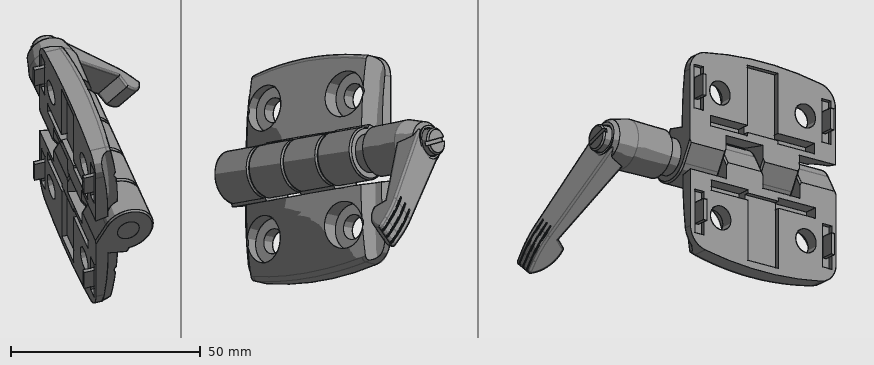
import cadquery as cq
import math


LEAF_WIDTH = 48.0
LEAF_HEIGHT = 29.7
END_EDGE_DROP = 2.8
CORNER_RADIUS = 5.9
BACK_Y = -9.0
CREST_THICKNESS = 8.55
CREST_Y = BACK_Y + CREST_THICKNESS
DOME_RADIUS = 101.0
SHOULDER_X = 20.2
SHOULDER_DROP = 1.25
SIDE_THICKNESS = 3.4
RIM_RADIUS = 1.4
LEAF_SHIFT = 0.2

CLEARANCE_BACK_Z = 6.05
CLEARANCE_CREST_Z = 7.85

BARREL_RADIUS = 7.1
BARREL_TOE_Z = 1.5
BARREL_WIDTH = 12.0
BARREL_STARTS = (-LEAF_WIDTH / 2, 0.15)
BARREL_CHAMFER = 0.5
PIN_RADIUS = 3.0

HOLE_Z = 17.6
HOLE_SPACING = 28.1
HOLE_RADIUS = 3.35
HEAD_RECESS_RADIUS = 6.2
HEAD_RECESS_FLOOR = 3.6

TAB_SPACING = 42.1
TAB_THICKNESS = 1.1
TAB_HEIGHT = 6.0
TAB_PROJECTION = 2.5
TAB_POCKET_WIDTH = 3.0
TAB_POCKET_HEIGHT = 12.3
TAB_POCKET_DEPTH = 1.25

MAIN_POCKET_WIDTH = 10.0
MAIN_POCKET_BOTTOM = 8.55
MAIN_POCKET_TOP = 27.6
MAIN_POCKET_DEPTH = 1.5
SLOT_SPAN = 34.3
SLOT_BOTTOM = 7.6
SLOT_TOP = 10.6
SLOT_DEPTH = 4.0

LEVER_ANGLE = 40.0
HUB_FRONT_X = -46.1
HUB_FACE_SLOPE = 0.11
HUB_FACE_EDGE_X = -45.75
HUB_SHOULDER_X = -44.6
HUB_RIDGE_X = -39.4
HUB_END_X = -28.0
HUB_FACE_RADIUS = 4.5
HUB_SHOULDER_RADIUS = 5.7
HUB_RIDGE_RADIUS = 6.9
HUB_END_RADIUS = 6.7

ARM_LENGTH = 39.7
ARM_ROOT_X = -45.5
ARM_BEND_X = -52.5
ARM_BEND_Z = 28.35
ARM_OUTER_X = -53.45
ARM_ROOT_WIDTH = 10.1
ARM_TIP_WIDTH = 7.4
ARM_EDGE_RADIUS = 0.55
TIP_RADIUS = 0.7

HOOK_BELLY = (-48.6, -36.8)
HOOK_POINT = (-46.15, -30.7)
HOOK_NOTCH = (-49.0, -28.6)
ARM_INNER_ROOT_X = -38.15

GROOVE_COUNT = 3
GROOVE_PITCH = 2.2
GROOVE_WIDTH = 0.5
GROOVE_DEPTH = 0.4
GROOVE_START = 25.95
GROOVE_START_X = -51.9
GROOVE_LEVEL_Z = 33.4

SCREW_FRONT_X = -48.25
SCREW_SEAT_X = -44.3
SCREW_HEAD_RADIUS = 3.6
SCREW_HEAD_CHAMFER = 0.5
SCREW_RECESS_RADIUS = 3.9
SCREW_SHANK_RADIUS = 2.0
SCREW_SLOT_WIDTH = 1.1
SCREW_SLOT_DEPTH = 1.1
SCREW_SLOT_ANGLE = -19.0
COLLAR_RADIUS = 5.1
PIN_START_X = -35.7
PIN_END_X = LEAF_WIDTH / 2 + LEAF_SHIFT


def cylinder_x(radius, start, end):
    """Cylinder around the pin axis between two X positions."""
    return cq.Workplane("YZ", origin=(start, 0, 0)).circle(radius).extrude(end - start)


def back_pocket(width, bottom, top, depth, center_x=0):
    """Rectangular block sunk into the mounting face of a leaf."""
    return (
        cq.Workplane("XZ", origin=(0, BACK_Y + depth, 0))
        .center(center_x, (bottom + top) / 2)
        .rect(width, top - bottom)
        .extrude(depth)
    )


def dome():
    """Outer face of a leaf: a crowned cross-section swept around an axis parallel to the pin."""
    half = LEAF_WIDTH / 2
    shoulder_y = CREST_Y - SHOULDER_DROP
    side_y = BACK_Y + SIDE_THICKNESS
    axis_y = CREST_Y - DOME_RADIUS
    crown_slope = 2 * math.atan2(SHOULDER_DROP, SHOULDER_X)
    shoulder_run = half - SHOULDER_X
    shoulder_fall = shoulder_y - side_y
    half_turn = math.atan2(shoulder_fall, shoulder_run) - crown_slope
    shoulder_sag = math.hypot(shoulder_run, shoulder_fall) / 2 * math.tan(half_turn / 2)
    return (
        cq.Workplane("XY", origin=(0, 0, CLEARANCE_CREST_Z))
        .moveTo(-half, axis_y)
        .lineTo(-half, side_y)
        .sagittaArc((-SHOULDER_X, shoulder_y), -shoulder_sag)
        .threePointArc((0, CREST_Y), (SHOULDER_X, shoulder_y))
        .sagittaArc((half, side_y), -shoulder_sag)
        .lineTo(half, axis_y)
        .close()
        .revolve(360, (0, axis_y, 0), (1, axis_y, 0))
    )


def leaf_plate():
    """Domed plate with a curved end edge, cut off at a slant next to the barrels."""
    half = LEAF_WIDTH / 2
    shoulder_z = LEAF_HEIGHT - END_EDGE_DROP
    outline = (
        cq.Workplane("XZ", origin=(0, CREST_Y, 0))
        .moveTo(-half, 0)
        .lineTo(-half, shoulder_z)
        .threePointArc((0, LEAF_HEIGHT), (half, shoulder_z))
        .lineTo(half, 0)
        .close()
        .extrude(CREST_THICKNESS)
        .edges("|Y")
        .edges(">Z")
        .fillet(CORNER_RADIUS)
    )
    plate = outline.intersect(dome())
    plate = plate.faces(">Z").edges(">Y").fillet(RIM_RADIUS)
    clearance = (
        cq.Workplane("YZ")
        .polyline([
            (BACK_Y, 0),
            (BACK_Y, CLEARANCE_BACK_Z),
            (CREST_Y, CLEARANCE_CREST_Z),
            (CREST_Y, 0),
        ])
        .close()
        .extrude(half, both=True)
    )
    return plate.cut(clearance)


def barrel(start_x):
    """Hinge barrel: an arc around the pin with a slope tangent to it from the mounting face."""
    toe_distance = math.hypot(BACK_Y, BARREL_TOE_Z)
    tangent_angle = math.atan2(BARREL_TOE_Z, BACK_Y) + math.acos(BARREL_RADIUS / toe_distance)
    tangent_point = (BARREL_RADIUS * math.cos(tangent_angle), BARREL_RADIUS * math.sin(tangent_angle))
    block = (
        cq.Workplane("YZ", origin=(start_x, 0, 0))
        .moveTo(BACK_Y, BARREL_TOE_Z)
        .lineTo(*tangent_point)
        .threePointArc((BARREL_RADIUS, 0), (0, BARREL_RADIUS))
        .lineTo(CREST_Y, CLEARANCE_CREST_Z)
        .lineTo(BACK_Y, CLEARANCE_BACK_Z)
        .close()
        .extrude(BARREL_WIDTH)
    )
    return block.faces("|X").edges("<Z or %CIRCLE").chamfer(BARREL_CHAMFER)


def leaf():
    """Upper hinge leaf with its barrels, screw holes, pockets and locating tabs."""
    body = leaf_plate()
    for start_x in BARREL_STARTS:
        body = body.union(barrel(start_x))
    body = body.cut(cylinder_x(PIN_RADIUS, -LEAF_WIDTH, LEAF_WIDTH))

    body = body.cut(back_pocket(MAIN_POCKET_WIDTH, MAIN_POCKET_BOTTOM, MAIN_POCKET_TOP, MAIN_POCKET_DEPTH))
    slot_length = (SLOT_SPAN - MAIN_POCKET_WIDTH) / 2
    slot_center = (SLOT_SPAN + MAIN_POCKET_WIDTH) / 4
    pocket_bottom = HOLE_Z - TAB_POCKET_HEIGHT / 2
    pocket_top = HOLE_Z + TAB_POCKET_HEIGHT / 2
    recess_depth = -BACK_Y - HEAD_RECESS_FLOOR
    for side in (-1, 1):
        body = body.cut(back_pocket(slot_length, SLOT_BOTTOM, SLOT_TOP, SLOT_DEPTH, side * slot_center))

        hole_axis = cq.Workplane("XZ", origin=(side * HOLE_SPACING / 2, 0, HOLE_Z))
        body = body.cut(hole_axis.circle(HOLE_RADIUS).extrude(-BACK_Y))
        body = body.cut(hole_axis.circle(HEAD_RECESS_RADIUS).extrude(recess_depth))

        tab_x = side * TAB_SPACING / 2
        body = body.cut(back_pocket(TAB_POCKET_WIDTH, pocket_bottom, pocket_top, TAB_POCKET_DEPTH, tab_x))
        tab = (
            cq.Workplane("XZ", origin=(tab_x, BACK_Y + TAB_POCKET_DEPTH, HOLE_Z))
            .rect(TAB_THICKNESS, TAB_HEIGHT)
            .extrude(TAB_POCKET_DEPTH + TAB_PROJECTION)
        )
        body = body.union(tab)
    return body


def lever_hub():
    """Turned hub with a ridge, beveled at the screw end and cut off by a tilted plane."""
    turned = (
        cq.Workplane("XY")
        .moveTo(ARM_OUTER_X, 0)
        .lineTo(ARM_OUTER_X, HUB_FACE_RADIUS)
        .lineTo(HUB_FACE_EDGE_X, HUB_FACE_RADIUS)
        .lineTo(HUB_SHOULDER_X, HUB_SHOULDER_RADIUS)
        .lineTo(HUB_RIDGE_X, HUB_RIDGE_RADIUS)
        .lineTo(HUB_END_X, HUB_END_RADIUS)
        .lineTo(HUB_END_X, 0)
        .close()
        .revolve(360, (0, 0, 0), (1, 0, 0))
    )
    face_rise = HUB_FACE_SLOPE * HUB_RIDGE_RADIUS
    waste = (
        cq.Workplane("XZ")
        .polyline([
            (HUB_FRONT_X + face_rise, HUB_RIDGE_RADIUS),
            (HUB_FRONT_X - face_rise, -HUB_RIDGE_RADIUS),
            (ARM_OUTER_X, -HUB_RIDGE_RADIUS),
            (ARM_OUTER_X, HUB_RIDGE_RADIUS),
        ])
        .close()
        .extrude(HUB_RIDGE_RADIUS, both=True)
    )
    return turned.cut(waste)


def lever_arm():
    """Tapered arm pointing straight down, with a finger hook at its tip."""
    back_angle = math.atan2(ARM_ROOT_X - ARM_BEND_X, ARM_BEND_Z)
    bend_end_z = ARM_BEND_Z + (ARM_BEND_X - ARM_OUTER_X) / math.tan(back_angle / 2)
    profile = (
        cq.Workplane("XZ")
        .moveTo(ARM_ROOT_X, 0)
        .lineTo(ARM_BEND_X, -ARM_BEND_Z)
        .tangentArcPoint((ARM_OUTER_X, -bend_end_z), relative=False)
        .lineTo(ARM_OUTER_X, TIP_RADIUS - ARM_LENGTH)
        .tangentArcPoint((TIP_RADIUS, -TIP_RADIUS))
        .threePointArc(HOOK_BELLY, HOOK_POINT)
        .lineTo(*HOOK_NOTCH)
        .lineTo(ARM_INNER_ROOT_X, 0)
        .close()
        .extrude(ARM_ROOT_WIDTH / 2, both=True)
    )
    taper = (
        cq.Workplane("YZ", origin=(ARM_OUTER_X, 0, 0))
        .polyline([
            (-ARM_ROOT_WIDTH / 2, 0),
            (ARM_ROOT_WIDTH / 2, 0),
            (ARM_TIP_WIDTH / 2, -ARM_LENGTH),
            (-ARM_TIP_WIDTH / 2, -ARM_LENGTH),
        ])
        .close()
        .extrude(-ARM_OUTER_X)
    )
    arm = profile.intersect(taper)
    return arm.faces("<Y or >Y").edges("not >Z").fillet(ARM_EDGE_RADIUS)


def grip_grooves():
    """Blocks for the lengthwise grooves in the outer face of the grip."""
    floor_x = ARM_OUTER_X + GROOVE_DEPTH
    groove = (
        cq.Workplane("XZ")
        .polyline([
            (GROOVE_START_X, -GROOVE_START),
            (floor_x, -GROOVE_LEVEL_Z),
            (floor_x, -ARM_LENGTH),
            (ARM_OUTER_X, -ARM_LENGTH),
            (ARM_OUTER_X, -GROOVE_START),
        ])
        .close()
        .extrude(GROOVE_WIDTH / 2, both=True)
    )
    first = -GROOVE_PITCH * (GROOVE_COUNT - 1) / 2
    grooves = cq.Workplane()
    for index in range(GROOVE_COUNT):
        grooves = grooves.add(groove.translate((0, first + index * GROOVE_PITCH, 0)))
    return grooves.combine()


def lever():
    """Clamping lever with the recess and bores for the screw and the pin."""
    body = lever_hub().union(lever_arm()).cut(grip_grooves())
    body = body.cut(cylinder_x(SCREW_RECESS_RADIUS, ARM_OUTER_X, SCREW_SEAT_X))
    body = body.cut(cylinder_x(SCREW_SHANK_RADIUS, SCREW_SEAT_X, PIN_START_X))
    body = body.cut(cylinder_x(PIN_RADIUS, PIN_START_X, HUB_END_X))
    return body.rotate((0, 0, 0), (1, 0, 0), LEVER_ANGLE)


def screw():
    """Slotted screw whose shank reaches the end of the pin."""
    head = cylinder_x(SCREW_HEAD_RADIUS, SCREW_FRONT_X, SCREW_SEAT_X)
    head = head.faces("<X").edges().chamfer(SCREW_HEAD_CHAMFER)
    slot = (
        cq.Workplane("YZ", origin=(SCREW_FRONT_X, 0, 0))
        .rect(2 * SCREW_HEAD_RADIUS, SCREW_SLOT_WIDTH)
        .extrude(SCREW_SLOT_DEPTH)
        .rotate((0, 0, 0), (1, 0, 0), SCREW_SLOT_ANGLE)
    )
    return head.cut(slot).union(cylinder_x(SCREW_SHANK_RADIUS, SCREW_SEAT_X, PIN_START_X))


def collar():
    """Spacer ring on the pin between the lever hub and the first barrel."""
    ring = cylinder_x(COLLAR_RADIUS, HUB_END_X, -LEAF_WIDTH / 2)
    return ring.cut(cylinder_x(PIN_RADIUS, HUB_END_X, -LEAF_WIDTH / 2))


upper_leaf = leaf()
lower_leaf = leaf().rotate((0, 0, 0), (0, 1, 0), 180).translate((LEAF_SHIFT, 0, 0))
pin = cylinder_x(PIN_RADIUS, PIN_START_X, PIN_END_X)

result = cq.Compound.makeCompound([
    upper_leaf.val(),
    lower_leaf.val(),
    lever().val(),
    screw().val(),
    collar().val(),
    pin.val(),
])